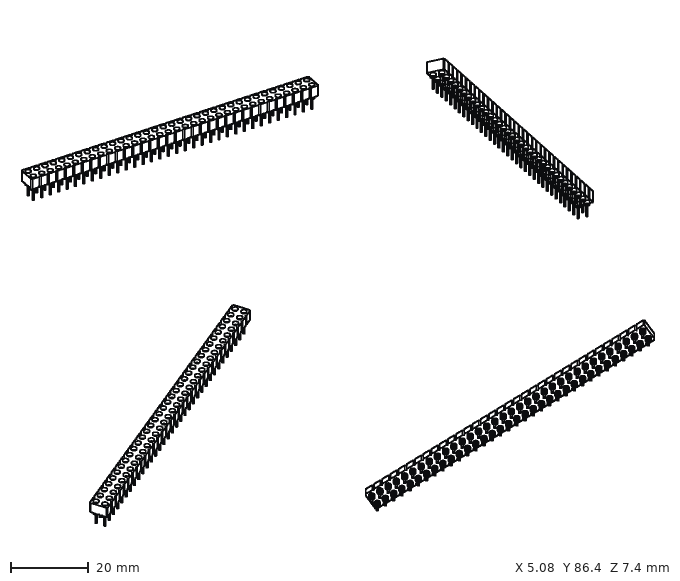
import cadquery as cq

ROWS = 34
COLUMNS = 2
LENGTH = 86.4
PITCH = LENGTH / ROWS
WIDTH = COLUMNS * PITCH

TOTAL_HEIGHT = 7.4
BODY_HEIGHT = 3.1
COLLAR_HEIGHT = 1.0
COLLAR_TAPER_HEIGHT = 0.2
TIP_HEIGHT = 0.2

CORNER_CHAMFER = 0.3

COLLAR_DIAMETER = 1.55
COLLAR_END_DIAMETER = 1.0
PIN_DIAMETER = 0.51
TIP_DIAMETER = 0.2

SOCKET_DIAMETER = 1.55
BORE_DIAMETER = 0.51
FUNNEL_DEPTH = 0.6
SOCKET_DEPTH = 2.25

BODY_TOP = BODY_HEIGHT
COLLAR_BOTTOM = -COLLAR_HEIGHT
PIN_BOTTOM = BODY_HEIGHT - TOTAL_HEIGHT


def body_outline():
    """Corner points of the strip, with a V notch between neighbouring rows."""
    half_width = WIDTH / 2
    notch_x = half_width - CORNER_CHAMFER
    right_side = []
    for row in range(ROWS):
        row_start = -LENGTH / 2 + row * PITCH
        row_end = row_start + PITCH
        right_side.append((notch_x, row_start))
        right_side.append((half_width, row_start + CORNER_CHAMFER))
        right_side.append((half_width, row_end - CORNER_CHAMFER))
    right_side.append((notch_x, LENGTH / 2))
    left_side = [(-x, y) for x, y in reversed(right_side)]
    return right_side + left_side


def contact():
    """Collar and pin below the body, turned about the Z axis."""
    collar_radius = COLLAR_DIAMETER / 2
    pin_radius = PIN_DIAMETER / 2
    profile = [
        (0, 0),
        (collar_radius, 0),
        (collar_radius, COLLAR_BOTTOM + COLLAR_TAPER_HEIGHT),
        (COLLAR_END_DIAMETER / 2, COLLAR_BOTTOM),
        (pin_radius, COLLAR_BOTTOM),
        (pin_radius, PIN_BOTTOM + TIP_HEIGHT),
        (TIP_DIAMETER / 2, PIN_BOTTOM),
        (0, PIN_BOTTOM),
    ]
    return cq.Workplane("XZ").polyline(profile).close().revolve(360, (0, 0, 0), (0, 1, 0))


def socket_cavity():
    """Funnel and blind bore that open in the top face."""
    profile = [
        (0, BODY_TOP),
        (SOCKET_DIAMETER / 2, BODY_TOP),
        (BORE_DIAMETER / 2, BODY_TOP - FUNNEL_DEPTH),
        (BORE_DIAMETER / 2, BODY_TOP - SOCKET_DEPTH),
        (0, BODY_TOP - SOCKET_DEPTH),
    ]
    return cq.Workplane("XZ").polyline(profile).close().revolve(360, (0, 0, 0), (0, 1, 0))


def at_every_cell(shape):
    """Copies of one shape, centred on every cell of the strip."""
    cells = cq.Workplane("XY").rarray(PITCH, PITCH, COLUMNS, ROWS)
    return cells.eachpoint(lambda location: shape.val().moved(location), combine=False)


body = cq.Workplane("XY").polyline(body_outline()).close().extrude(BODY_HEIGHT)
result = body.cut(at_every_cell(socket_cavity())).union(at_every_cell(contact()))